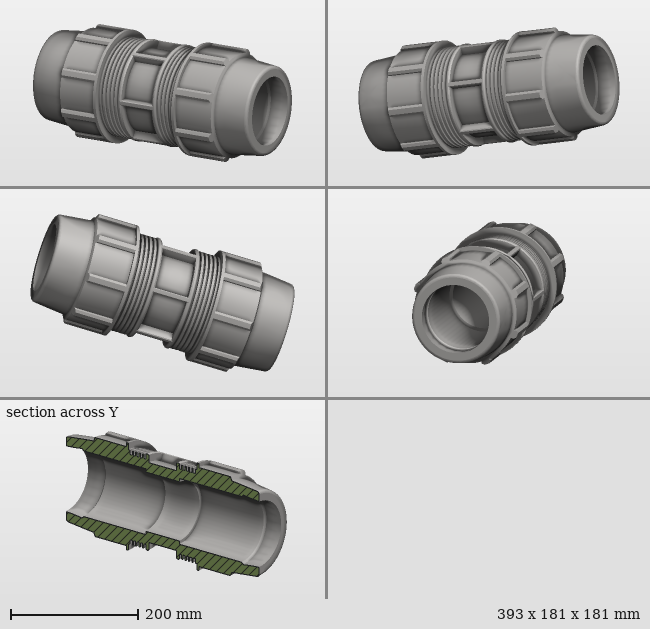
import cadquery as cq
LENGTH = 393.0
FLANGE_DIA = 181.0
BORE_DIA = 99.0
SOCKET_DIA = 110.0
SEAL_DIA = 116.5
SEAL_DEPTH = 32.5
SEAL_TAPER_LENGTH = 3.0

NOSE_TIP_RADIUS = 71.5
NOSE_BASE_RADIUS = 77.5
NOSE_BULGE = 0.2
NOSE_EDGE_ROUND = 5.0
SHOULDER_START = 56.0
SHOULDER_END = 61.7
FLANGE_START = 122.5
FLANGE_WIDTH = 4.7
GRIP_DIA = 167.5
GRIP_RIB_COUNT = 8
GRIP_RIB_TOP_WIDTH = 8.3
GRIP_RIB_WIDEST = 15.0
GRIP_RIB_WIDEST_RADIUS = 87.0
GRIP_RIB_ROOT_WIDTH = 13.5

RING_DIA = 159.5
NECK_DIA = 144.5
RING_COUNT = 5
RING_PITCH = 7.0
RING_WIDTH = 3.5
FIRST_RING_END = 66.0

COLLAR_DIA = 163.0
COLLAR_OUTER = 34.5
COLLAR_INNER = 28.0
COLLAR_EDGE_ROUND = 2.8
PIPE_DIA = 135.0
POCKET_CHAMFER_DEPTH = 1.5
POCKET_CHAMFER_COLLAR = 2.5
POCKET_CHAMFER_RIB = 1.0
BODY_RIB_COUNT = 6
BODY_RIB_TOP_WIDTH = 5.5

HALF = LENGTH / 2
FLANGE_RADIUS = FLANGE_DIA / 2
GRIP_RADIUS = GRIP_DIA / 2
COLLAR_RADIUS = COLLAR_DIA / 2
NUT_INNER_END = -HALF + FLANGE_START + FLANGE_WIDTH


def cylinder(diameter, start, end):
    """Cylinder on the X axis between two axial positions."""
    return cq.Workplane("YZ").workplane(offset=start).circle(diameter / 2).extrude(end - start)


def revolve_about_x(outline):
    return outline.close().revolve(360, (0, 0, 0), (1, 0, 0))


def bar_along_x(section, angle, start, end):
    """Prism whose section is listed as (across, radius), turned by an angle from +Y."""
    bar = cq.Workplane("YZ").workplane(offset=start)
    bar = bar.polyline([(radius, across) for across, radius in section]).close().extrude(end - start)
    return bar.rotate((0, 0, 0), (1, 0, 0), angle)


def grip_ribs_and_barrel():
    """Barrel of the nut with undercut grip ribs, still square at the outer end."""
    start = -HALF + SHOULDER_START
    core = NECK_DIA / 2
    half_top = GRIP_RIB_TOP_WIDTH / 2
    half_widest = GRIP_RIB_WIDEST / 2
    half_root = GRIP_RIB_ROOT_WIDTH / 2
    section = [
        (-half_root, core),
        (half_root, core),
        (half_root, GRIP_RADIUS),
        (half_widest, GRIP_RIB_WIDEST_RADIUS),
        (half_top, FLANGE_RADIUS),
        (-half_top, FLANGE_RADIUS),
        (-half_widest, GRIP_RIB_WIDEST_RADIUS),
        (-half_root, GRIP_RADIUS),
    ]
    barrel = cylinder(GRIP_DIA, start, NUT_INNER_END)
    step = 360 / GRIP_RIB_COUNT
    for index in range(GRIP_RIB_COUNT):
        barrel = barrel.union(bar_along_x(section, (index + 0.5) * step, start, NUT_INNER_END))
    return barrel


def nut():
    """Nut at the -X end: bulged nose, ribbed grip with a conical shoulder, and flange."""
    tip = -HALF
    shoulder = -HALF + SHOULDER_START
    envelope = revolve_about_x(
        cq.Workplane("XY")
        .moveTo(shoulder, 0)
        .lineTo(shoulder, NOSE_BASE_RADIUS)
        .lineTo(-HALF + SHOULDER_END, FLANGE_RADIUS)
        .lineTo(NUT_INNER_END, FLANGE_RADIUS)
        .lineTo(NUT_INNER_END, 0)
    )
    nose_middle = ((tip + shoulder) / 2, (NOSE_TIP_RADIUS + NOSE_BASE_RADIUS) / 2 + NOSE_BULGE)
    nose = revolve_about_x(
        cq.Workplane("XY")
        .moveTo(tip, 0)
        .lineTo(tip, NOSE_TIP_RADIUS)
        .threePointArc(nose_middle, (shoulder, NOSE_BASE_RADIUS))
        .lineTo(shoulder, 0)
    )
    nose = nose.faces("<X").edges().fillet(NOSE_EDGE_ROUND)
    flange = cylinder(FLANGE_DIA, -HALF + FLANGE_START, NUT_INNER_END)
    return grip_ribs_and_barrel().intersect(envelope).union(nose).union(flange)


def ringed_neck():
    """Neck with evenly spaced rings on the -X side; the first ring meets the flange."""
    neck = cylinder(NECK_DIA, NUT_INNER_END, -COLLAR_INNER)
    for index in range(RING_COUNT):
        end = -FIRST_RING_END + index * RING_PITCH
        neck = neck.union(cylinder(RING_DIA, end - RING_WIDTH, end))
    return neck


def collar():
    """Collar at the -X side of the middle, rounded outside and chamfered towards the pockets."""
    ring = revolve_about_x(
        cq.Workplane("XY")
        .moveTo(-COLLAR_OUTER, 0)
        .lineTo(-COLLAR_OUTER, COLLAR_RADIUS)
        .lineTo(-COLLAR_INNER - POCKET_CHAMFER_COLLAR, COLLAR_RADIUS)
        .lineTo(-COLLAR_INNER, COLLAR_RADIUS - POCKET_CHAMFER_DEPTH)
        .lineTo(-COLLAR_INNER, 0)
    )
    return ring.faces("<X").edges().fillet(COLLAR_EDGE_ROUND)


def ribbed_pipe():
    """Pipe between the collars with lengthwise ribs that have chamfered tops."""
    reach = COLLAR_INNER + POCKET_CHAMFER_COLLAR
    half_top = BODY_RIB_TOP_WIDTH / 2
    half_base = half_top + POCKET_CHAMFER_RIB
    base = (PIPE_DIA + SOCKET_DIA) / 4
    shoulder = COLLAR_RADIUS - POCKET_CHAMFER_DEPTH
    section = [
        (-half_base, base),
        (half_base, base),
        (half_base, shoulder),
        (half_top, COLLAR_RADIUS),
        (-half_top, COLLAR_RADIUS),
        (-half_base, shoulder),
    ]
    pipe = cylinder(PIPE_DIA, -COLLAR_INNER, COLLAR_INNER)
    for index in range(BODY_RIB_COUNT):
        pipe = pipe.union(bar_along_x(section, index * 360 / BODY_RIB_COUNT, -reach, reach))
    return pipe.intersect(cylinder(COLLAR_DIA, -COLLAR_OUTER, COLLAR_OUTER))


def socket():
    """Pipe socket at the -X end: mouth widening to a seal recess, then a plain bore to the stop."""
    seal = -HALF + SEAL_DEPTH
    stop = -COLLAR_OUTER
    radius = SOCKET_DIA / 2
    return revolve_about_x(
        cq.Workplane("XY")
        .moveTo(-HALF, 0)
        .lineTo(-HALF, radius)
        .lineTo(seal, SEAL_DIA / 2)
        .lineTo(seal + SEAL_TAPER_LENGTH, radius)
        .lineTo(stop, radius)
        .lineTo(stop, 0)
    )


end_assembly = nut().union(ringed_neck()).union(collar()).cut(socket())
middle = ribbed_pipe()
result = middle.union(end_assembly).union(end_assembly.mirror("YZ"))
result = result.cut(cylinder(BORE_DIA, -HALF, HALF))